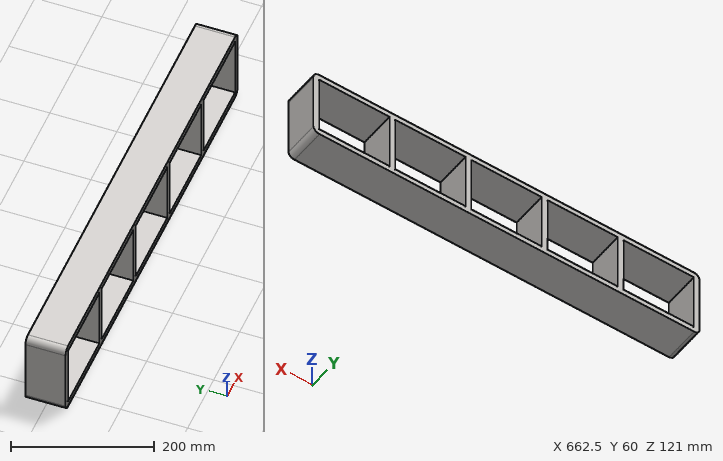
import cadquery as cq

window_count = 5
window_width = 120.5
window_height = 101.0
wall = 10.0
depth = 60.0
corner_radius = 10.0

pitch = window_width + wall
length = window_count * pitch + wall
height = window_height + 2 * wall


def make_body():
    """Solid bar centred on the origin, its four long corners rounded along Y."""
    return cq.Workplane("XY").box(length, depth, height).edges("|Y").fillet(corner_radius)


def make_windows():
    """Row of rectangular openings that run through the full depth."""
    return (
        cq.Workplane("XY")
        .rarray(pitch, 1, window_count, 1)
        .box(window_width, depth, window_height)
    )


result = make_body().cut(make_windows())